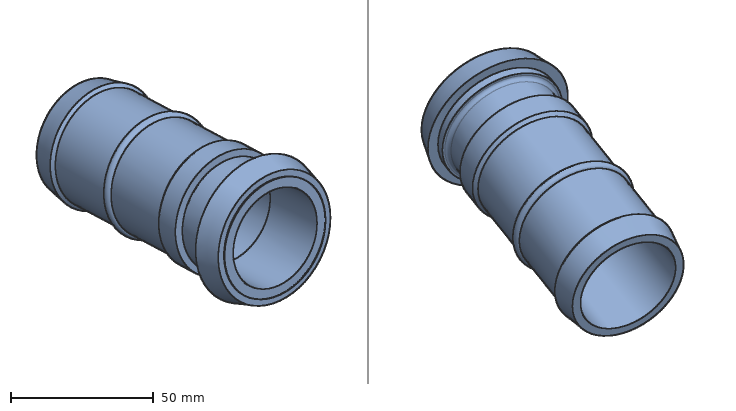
import cadquery as cq
import math

barb_crest_x = 9.8
bead_center_x = 40.0
shoulder_start_x = 68.6
joint_x = 79.1
collar_start_x = 91.9
flange_start_x = 95.1
flange_end_x = 104.6
total_length = 105.0

bore_diameter = 38.0
tail_mouth_diameter = 44.5
tail_diameter = 45.0
shoulder_diameter = 48.0
neck_diameter = 43.0
flange_large_diameter = 56.0
flange_small_diameter = 50.9
end_lip_diameter = 45.8

barb_back_length = 1.0
bead_half_width = 1.7
shoulder_chamfer_length = 1.3
neck_chamfer_length = 0.8
neck_chamfer_depth = 1.3
collar_fillet = 1.6

bore_radius = bore_diameter / 2
tail_radius = tail_diameter / 2
shoulder_radius = shoulder_diameter / 2
neck_radius = neck_diameter / 2


def revolve_about_x(profile):
    """Close a half profile drawn as (x, radius) and revolve it about the X axis."""
    return profile.close().revolve(360, (0, 0, 0), (1, 0, 0))


def make_hose_tail():
    """Bored tube with a tapered barb, a rounded bead and a shoulder."""
    return revolve_about_x(
        cq.Workplane("XY")
        .moveTo(0, bore_radius)
        .lineTo(0, tail_mouth_diameter / 2)
        .lineTo(barb_crest_x, shoulder_radius)
        .lineTo(barb_crest_x + barb_back_length, tail_radius)
        .lineTo(bead_center_x - bead_half_width, tail_radius)
        .threePointArc(
            (bead_center_x, shoulder_radius),
            (bead_center_x + bead_half_width, tail_radius),
        )
        .lineTo(shoulder_start_x, tail_radius)
        .lineTo(shoulder_start_x + shoulder_chamfer_length, shoulder_radius)
        .lineTo(joint_x, shoulder_radius)
        .lineTo(joint_x, bore_radius)
    )


def make_coupling_end():
    """Bored neck with a filleted collar, a tapered flange and a short end lip."""
    fillet_mid_offset = collar_fillet * math.sqrt(0.5)
    fillet_center_x = collar_start_x - collar_fillet
    fillet_center_radius = neck_radius + collar_fillet
    return revolve_about_x(
        cq.Workplane("XY")
        .moveTo(joint_x, bore_radius)
        .lineTo(joint_x, neck_radius - neck_chamfer_depth)
        .lineTo(joint_x + neck_chamfer_length, neck_radius)
        .lineTo(fillet_center_x, neck_radius)
        .threePointArc(
            (fillet_center_x + fillet_mid_offset, fillet_center_radius - fillet_mid_offset),
            (collar_start_x, fillet_center_radius),
        )
        .lineTo(collar_start_x, shoulder_radius)
        .lineTo(flange_start_x, shoulder_radius)
        .lineTo(flange_start_x, flange_large_diameter / 2)
        .lineTo(flange_end_x, flange_small_diameter / 2)
        .lineTo(flange_end_x, end_lip_diameter / 2)
        .lineTo(total_length, end_lip_diameter / 2)
        .lineTo(total_length, bore_radius)
    )


hose_tail = make_hose_tail()
coupling_end = make_coupling_end()

result = cq.Compound.makeCompound([hose_tail.val(), coupling_end.val()])